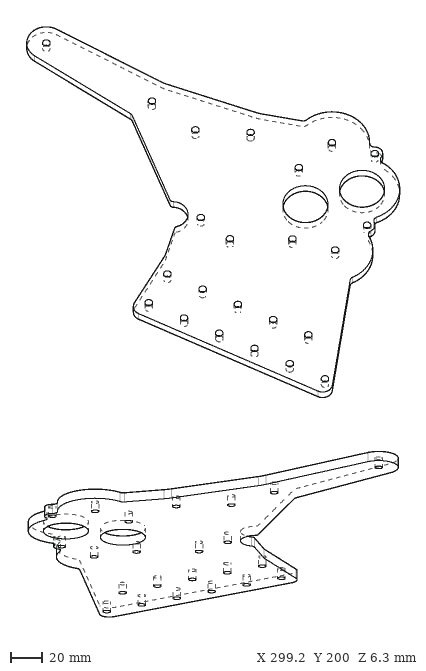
import cadquery as cq

THICKNESS = 6.3
LENGTH = 299.2
HEIGHT = 200.0

SCREW_RADIUS = 2.5
BORE_RADIUS = 14.5

ARM_RADIUS = 12.5
ARM_CENTER = (ARM_RADIUS, 159.5)
ARM_TOP_BEND = (93.5, 166.7)
ARM_TOP_KNEE = (158.0, 174.2)
ARM_TOP_VALLEY = (187.3, 182.5)
ARM_BOTTOM_BEND = (86.8, 135.5)
ARM_BEND_RADIUS = 30.0

LOBE_RADIUS = 24.1
TOP_LOBE = (210.0, HEIGHT - LOBE_RADIUS)
BORE_LOBE = (244.0, 153.0)
SIDE_LOBE = (251.0, 102.5)
LOBES = [TOP_LOBE, BORE_LOBE, SIDE_LOBE]
LUG_RADIUS = 5.0
TOP_LUG = (238.2, 181.0)
SIDE_LUG = (260.0, 129.3)
VALLEY_RADIUS = 3.0
LUG_VALLEYS = [(233.5, 182.2), (241.2, 177.0), (259.2, 134.5), (261.5, 124.5)]

FOOT_LEFT = 157.0
FOOT_CORNER_RADIUS = 6.3
FOOT_LEFT_TOP = (FOOT_LEFT, 48.2)
FOOT_RIGHT_TOP = (270.0, 88.0)
FOOT_RIGHT_CENTER = (LENGTH - FOOT_CORNER_RADIUS, FOOT_CORNER_RADIUS)

NOTCH_CENTER = (146.3, 78.7)
NOTCH_RADIUS = 10.0
NOTCH_LOWER_CORNER = (152.3, 71.0)
NOTCH_UPPER_CORNER = (141.0, 86.8)
NOTCH_CORNER_RADIUS = 2.5

GRID_PITCH = 25.5
GRID_START = (165.2, 10.62)
GRID_ROW_COUNTS = (6, 5)
LOOSE_HOLES = [
    (93.5, 150.8), (128.5, 144.0), (160.5, 158.5), (200.5, 148.7),
    (223.0, 97.5), (163.5, 85.0), (187.5, 79.0),
]
LOWER_BORE = (217.5, 125.5)


def disk(center, radius):
    return cq.Workplane("XY").center(*center).circle(radius).extrude(THICKNESS)


def tangent_point(outside, center, radius, side):
    """Point where the line from outside touches a circle; side +1 is left of center-to-outside."""
    axis = cq.Vector(*outside) - cq.Vector(*center)
    along = radius**2 / axis.Length
    across = side * (radius**2 - along**2) ** 0.5
    unit = axis.normalized()
    return (
        center[0] + unit.x * along - unit.y * across,
        center[1] + unit.y * along + unit.x * across,
    )


def round_corner(body, corner, radius):
    """Round the upright edge closest to the given corner."""
    place = (corner[0], corner[1], THICKNESS / 2)
    return body.edges("|Z").edges(cq.selectors.NearestToPointSelector(place)).fillet(radius)


def plate_body():
    outline = [
        tangent_point(ARM_BOTTOM_BEND, ARM_CENTER, ARM_RADIUS, -1),
        ARM_BOTTOM_BEND,
        NOTCH_UPPER_CORNER,
        NOTCH_CENTER,
        NOTCH_LOWER_CORNER,
        FOOT_LEFT_TOP,
        (FOOT_LEFT, 0),
        (FOOT_RIGHT_CENTER[0], 0),
        tangent_point(FOOT_RIGHT_TOP, FOOT_RIGHT_CENTER, FOOT_CORNER_RADIUS, -1),
        FOOT_RIGHT_TOP,
        SIDE_LOBE,
        SIDE_LUG,
        BORE_LOBE,
        TOP_LUG,
        TOP_LOBE,
        ARM_TOP_VALLEY,
        ARM_TOP_KNEE,
        ARM_TOP_BEND,
        tangent_point(ARM_TOP_BEND, ARM_CENTER, ARM_RADIUS, 1),
    ]
    body = cq.Workplane("XY").polyline(outline).close().extrude(THICKNESS)
    body = body.union(disk(ARM_CENTER, ARM_RADIUS)).union(disk(FOOT_RIGHT_CENTER, FOOT_CORNER_RADIUS))
    for lobe in LOBES:
        body = body.union(disk(lobe, LOBE_RADIUS))
    for lug in (TOP_LUG, SIDE_LUG):
        body = body.union(disk(lug, LUG_RADIUS))
    return body.cut(disk(NOTCH_CENTER, NOTCH_RADIUS))


def round_border(body):
    for bend in (ARM_TOP_BEND, ARM_TOP_KNEE):
        body = round_corner(body, bend, ARM_BEND_RADIUS)
    for valley in LUG_VALLEYS + [ARM_BOTTOM_BEND, ARM_TOP_VALLEY, FOOT_RIGHT_TOP]:
        body = round_corner(body, valley, VALLEY_RADIUS)
    for corner in (NOTCH_LOWER_CORNER, NOTCH_UPPER_CORNER):
        body = round_corner(body, corner, NOTCH_CORNER_RADIUS)
    return round_corner(body, (FOOT_LEFT, 0), FOOT_CORNER_RADIUS)


def screw_holes():
    grid = [
        (GRID_START[0] + column * GRID_PITCH, GRID_START[1] + row * GRID_PITCH)
        for row, count in enumerate(GRID_ROW_COUNTS)
        for column in range(count)
    ]
    centers = grid + LOOSE_HOLES + [ARM_CENTER, TOP_LOBE, SIDE_LOBE, TOP_LUG, SIDE_LUG]
    return cq.Workplane("XY").pushPoints(centers).circle(SCREW_RADIUS).extrude(THICKNESS)


def bores():
    return cq.Workplane("XY").pushPoints([BORE_LOBE, LOWER_BORE]).circle(BORE_RADIUS).extrude(THICKNESS)


result = round_border(plate_body()).cut(screw_holes()).cut(bores())